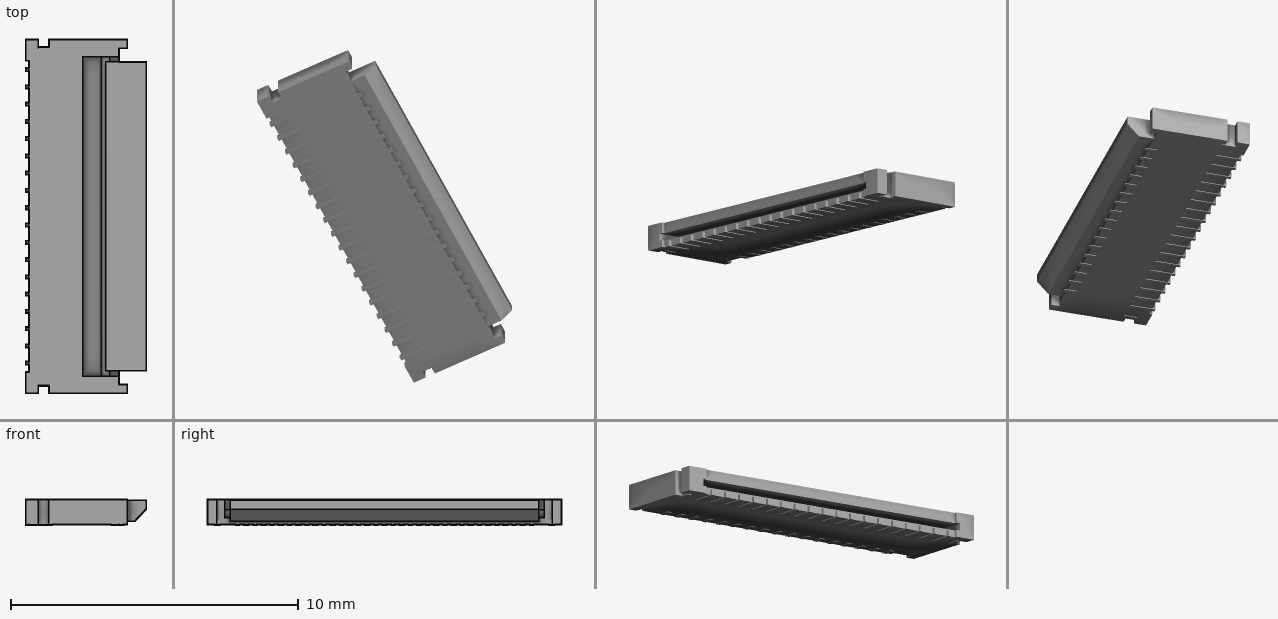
import cadquery as cq


length = 12.3
height = 0.9
total_depth = 4.2

standoff = 0.02
body_depth = 3.25
arm_depth = 3.53
arm_width = 0.32
ear_width = 0.75
slot_face_recess = 0.11
notch_start = 0.44
notch_width = 0.37
notch_depth = 0.28

cavity_length = 11.1
slot_floor = 0.27
slot_height = 0.26
pocket_start = 1.99

actuator_length = 10.73
actuator_start = 2.78
actuator_top = 0.87
actuator_bottom = 0.14
actuator_chamfer_depth = 0.4
actuator_chamfer_height = 0.43
hinge_radius = 0.15
hinge_z = slot_floor + slot_height / 2

front_count = 18
rear_count = front_count - 1
front_row_length = 10.2
pitch = front_row_length / (front_count - 1)
front_width = 0.12
front_height = 0.21
foot_length = 0.91
rear_width = 0.17
rear_start = 2.98
rear_end = 3.41
tab_width = 0.17
tab_inset = 0.35


def block(x_range, y_middle, y_size, z_range):
    """Box given by its X and Z limits and its place and size along Y."""
    x_size = x_range[1] - x_range[0]
    z_size = z_range[1] - z_range[0]
    box = cq.Workplane("XY").box(x_size, y_size, z_size, centered=(False, True, False))
    return box.translate((x_range[0], y_middle, z_range[0]))


def row_positions(count):
    """Y places of a contact row centred on the housing."""
    return [(i - (count - 1) / 2) * pitch for i in range(count)]


def make_housing():
    body_z = (standoff, height)
    housing = block((slot_face_recess, body_depth), 0, length, body_z)
    for side in (-1, 1):
        ear_y = side * (length - ear_width) / 2
        arm_y = side * (length - arm_width) / 2
        notch_y = side * (length - notch_depth) / 2
        housing = housing.union(block((0, slot_face_recess), ear_y, ear_width, body_z))
        housing = housing.union(block((body_depth, arm_depth), arm_y, arm_width, body_z))
        notch_x = (notch_start, notch_start + notch_width)
        housing = housing.cut(block(notch_x, notch_y, notch_depth, body_z))
    slot = block((0, pocket_start), 0, cavity_length, (slot_floor, slot_floor + slot_height))
    pocket = block((pocket_start, body_depth), 0, cavity_length, (slot_floor, height))
    return housing.cut(slot).cut(pocket)


def make_actuator():
    rod = (
        cq.Workplane("XZ")
        .center(actuator_start, hinge_z)
        .circle(hinge_radius)
        .extrude(cavity_length / 2, both=True)
    )
    flap = (
        cq.Workplane("XZ")
        .polyline([
            (actuator_start, actuator_bottom),
            (total_depth - actuator_chamfer_depth, actuator_bottom),
            (total_depth, actuator_bottom + actuator_chamfer_height),
            (total_depth, actuator_top),
            (actuator_start, actuator_top),
        ])
        .close()
        .extrude(actuator_length / 2, both=True)
    )
    return rod.union(flap)


def add_contacts(part):
    foot_z = (0, standoff)
    for y in row_positions(front_count):
        part = part.union(block((0, foot_length), y, front_width, foot_z))
        part = part.union(block((0, slot_face_recess), y, front_width, (0, front_height)))
    for y in row_positions(rear_count):
        part = part.union(block((rear_start, rear_end), y, rear_width, foot_z))
    for side in (-1, 1):
        tab_y = side * (length / 2 - tab_inset)
        part = part.union(block((notch_start, foot_length), tab_y, tab_width, foot_z))
    return part


result = add_contacts(make_housing().union(make_actuator()))